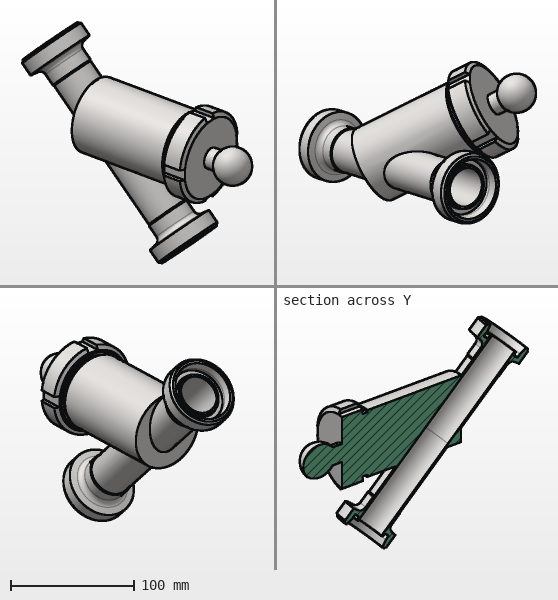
import cadquery as cq
import math

PIPE_TILT = 45.0
PIPE_OD = 36.0
BORE_D = 32.0

FACE_DIST = 100.0
FLANGE_D = 58.0
FLANGE_CHAMFER = 2.0
FLANGE_RIM_LENGTH = 14.1
FLANGE_BACK_ANGLE = 10.0
NECK_D = 37.0
NECK_START = 68.2
NECK_STEP_LENGTH = 0.9
NECK_FILLET = 5.0

MOUTH_D = 49.5
SEAT_D = 45.9
SEAT_DEPTH = 6.8
SPIGOT_D = PIPE_OD
SPIGOT_BASE_D = NECK_D
SPIGOT_DEPTH = 7.5
GROOVE_DEPTH = 10.5

BODY_AXIS_Z = 17.6
BODY_D = 65.0
BODY_START = -24.3
BODY_END = 67.7
COLLAR_D = 61.0

NUT_D = 78.0
NUT_START = 72.0
NUT_END = 92.6
NUT_CHAMFER_LENGTH = 2.2
NUT_CHAMFER_DEPTH = 4.0
NUT_MOUTH_D = 66.2
NUT_MOUTH_DEPTH = 0.5
SLOT_COUNT = 4
SLOT_WIDTH = 10.0
SLOT_FLOOR_RADIUS = 34.9

STEM_D = 18.0
BALL_D = 32.0
BALL_END = 130.8


def along_pipe(shape, flip=False):
    """Lay a shape built along Z onto the pipe axis, towards +X-Z or, flipped, towards -X+Z."""
    tilt = 90.0 + PIPE_TILT
    if flip:
        tilt -= 180.0
    return shape.rotate((0, 0, 0), (0, 1, 0), tilt)


def along_body(diameter, start, end):
    """Cylinder on the body axis between two X positions."""
    plane = cq.Workplane("YZ", origin=(start, 0, BODY_AXIS_Z))
    return plane.circle(diameter / 2).extrude(end - start)


def revolve_about_z(profile):
    """Close a half profile drawn in the XZ plane and turn it about Z."""
    return profile.close().revolve(360, (0, 0, 0), (0, 1, 0))


def end_fitting():
    """Solid neck and flange of one pipe end, built along Z."""
    flange_r = FLANGE_D / 2
    neck_r = NECK_D / 2
    back_edge = FACE_DIST - FLANGE_RIM_LENGTH
    slope = math.radians(FLANGE_BACK_ANGLE)
    fillet_centre_r = neck_r + NECK_FILLET
    touch_r = fillet_centre_r - NECK_FILLET * math.sin(slope)
    touch_z = back_edge - (flange_r - touch_r) * math.tan(slope)
    fillet_centre_z = touch_z - NECK_FILLET * math.cos(slope)
    mid_angle = (math.pi + math.pi / 2 + slope) / 2
    fillet_mid = (
        fillet_centre_r + NECK_FILLET * math.cos(mid_angle),
        fillet_centre_z + NECK_FILLET * math.sin(mid_angle),
    )
    profile = (
        cq.Workplane("XZ")
        .moveTo(0, NECK_START)
        .lineTo(PIPE_OD / 2, NECK_START)
        .lineTo(neck_r, NECK_START + NECK_STEP_LENGTH)
        .lineTo(neck_r, fillet_centre_z)
        .threePointArc(fillet_mid, (touch_r, touch_z))
        .lineTo(flange_r, back_edge)
        .lineTo(flange_r, FACE_DIST - FLANGE_CHAMFER)
        .lineTo(flange_r - FLANGE_CHAMFER, FACE_DIST)
        .lineTo(0, FACE_DIST)
    )
    return revolve_about_z(profile)


def sealing_recess():
    """Conical mouth and gasket groove around a raised spigot, built along Z."""
    spigot_z = FACE_DIST - SPIGOT_DEPTH
    floor_z = FACE_DIST - GROOVE_DEPTH
    profile = (
        cq.Workplane("XZ")
        .moveTo(0, FACE_DIST)
        .lineTo(MOUTH_D / 2, FACE_DIST)
        .lineTo(SEAT_D / 2, FACE_DIST - SEAT_DEPTH)
        .lineTo(SEAT_D / 2, floor_z)
        .lineTo(SPIGOT_BASE_D / 2, floor_z)
        .lineTo(SPIGOT_D / 2, spigot_z)
        .lineTo(0, spigot_z)
    )
    return revolve_about_z(profile)


def slotted_nut():
    """Chamfered nut with rim slots and a shallow mouth that clears the collar."""
    nut_r = NUT_D / 2
    chamfered_r = nut_r - NUT_CHAMFER_DEPTH
    profile = (
        cq.Workplane("XY")
        .moveTo(NUT_START, 0)
        .lineTo(NUT_START, chamfered_r)
        .lineTo(NUT_START + NUT_CHAMFER_LENGTH, nut_r)
        .lineTo(NUT_END - NUT_CHAMFER_LENGTH, nut_r)
        .lineTo(NUT_END, chamfered_r)
        .lineTo(NUT_END, 0)
        .close()
    )
    nut = profile.revolve(360, (0, 0, 0), (1, 0, 0))
    slot_cutter = (
        cq.Workplane("XY")
        .box(NUT_END - NUT_START, SLOT_WIDTH, nut_r, centered=(False, True, False))
        .translate((NUT_START, 0, SLOT_FLOOR_RADIUS))
    )
    for index in range(SLOT_COUNT):
        nut = nut.cut(slot_cutter.rotate((0, 0, 0), (1, 0, 0), index * 360 / SLOT_COUNT))
    mouth = along_body(NUT_MOUTH_D, NUT_START, NUT_START + NUT_MOUTH_DEPTH)
    return nut.translate((0, 0, BODY_AXIS_Z)).cut(mouth)


def ball_handle():
    """Stem and ball knob beyond the nut."""
    ball_centre_x = BALL_END - BALL_D / 2
    ball = cq.Workplane("XY").sphere(BALL_D / 2).translate((ball_centre_x, 0, BODY_AXIS_Z))
    return along_body(STEM_D, NUT_END, ball_centre_x).union(ball)


pipe = cq.Workplane("XY").circle(PIPE_OD / 2).extrude(NECK_START, both=True)
bore = cq.Workplane("XY").circle(BORE_D / 2).extrude(FACE_DIST, both=True)

result = (
    along_body(BODY_D, BODY_START, BODY_END)
    .union(along_body(COLLAR_D, BODY_END, NUT_START + NUT_MOUTH_DEPTH))
    .union(slotted_nut())
    .union(ball_handle())
    .union(along_pipe(pipe))
)
for flipped in (False, True):
    result = result.union(along_pipe(end_fitting(), flipped))
    result = result.cut(along_pipe(sealing_recess(), flipped))
result = result.cut(along_pipe(bore))